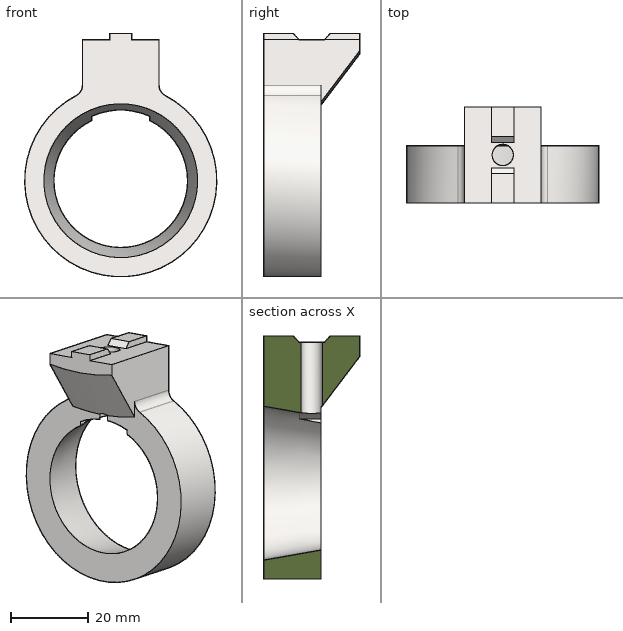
import cadquery as cq
import math

outer_radius = 24.95
front_bore_radius = 19.95
back_bore_radius = 17.3
ring_depth = 15.0
ring_center_z = outer_radius

total_height = 63.15
block_width = 19.95
block_depth = 25.0
pad_height = 1.6
block_top_z = total_height - pad_height
root_fillet = 3.0

slope_back_z = 58.75
slope_ring_z = 45.5
underside_bulge = 0.9

notch_width = 15.0
notch_radius = 18.3

pad_width = 5.8
pad_gap = 6.65
pad_bevel = 1.45
screw_diameter = 5.5
screw_y = block_depth / 2


def box(width, y_start, y_end, z_start, z_end):
    """Box centred on X between the given Y and Z limits."""
    return cq.Workplane("XY").box(
        width, y_end - y_start, z_end - z_start, centered=(True, False, False)
    ).translate((0, y_start, z_start))


def make_ring():
    return (
        cq.Workplane("XZ")
        .center(0, ring_center_z)
        .circle(outer_radius)
        .extrude(-ring_depth)
    )


def make_root_fillets():
    """Web under the block whose sides blend tangentially into the ring."""
    half_width = block_width / 2
    center_x = half_width + root_fillet
    center_distance = outer_radius + root_fillet
    center_z = ring_center_z + math.sqrt(center_distance**2 - center_x**2)
    tangent_x = center_x * outer_radius / center_distance
    tangent_z = ring_center_z + (center_z - ring_center_z) * outer_radius / center_distance
    tangent_angle = math.atan2(tangent_z - center_z, tangent_x - center_x) + 2 * math.pi
    angle = (math.pi + tangent_angle) / 2
    middle_x = center_x + root_fillet * math.cos(angle)
    middle_z = center_z + root_fillet * math.sin(angle)
    return (
        cq.Workplane("XZ")
        .moveTo(-half_width, center_z)
        .lineTo(half_width, center_z)
        .threePointArc((middle_x, middle_z), (tangent_x, tangent_z))
        .lineTo(0, ring_center_z)
        .lineTo(-tangent_x, tangent_z)
        .threePointArc((-middle_x, middle_z), (-half_width, center_z))
        .close()
        .extrude(-ring_depth)
    )


def make_block():
    ring_part = box(block_width, 0, ring_depth, ring_center_z, block_top_z)
    slope_run = block_depth - ring_depth
    slope_rise = slope_back_z - slope_ring_z
    half_width = block_width / 2
    section = (
        cq.Workplane("XZ", origin=(0, ring_depth, 0))
        .moveTo(-half_width, slope_ring_z)
        .threePointArc((0, slope_ring_z - underside_bulge), (half_width, slope_ring_z))
        .lineTo(half_width, block_top_z)
        .lineTo(-half_width, block_top_z)
        .close()
    )
    path = cq.Workplane("YZ").moveTo(ring_depth, 0).lineTo(ring_depth + slope_run, slope_rise)
    overhang = section.sweep(path)
    limits = box(block_width, ring_depth, block_depth, 0, block_top_z)
    return ring_part.union(overhang.intersect(limits))


def make_pads():
    """Two pads in line along Y, bevelled where they face each other."""
    front_end = screw_y - pad_gap / 2
    front_profile = [
        (0, block_top_z),
        (front_end, block_top_z),
        (front_end - pad_bevel, total_height),
        (0, total_height),
    ]
    front = (
        cq.Workplane("YZ")
        .polyline(front_profile)
        .close()
        .extrude(pad_width / 2, both=True)
    )
    return front.union(front.mirror("XZ").translate((0, block_depth, 0)))


def make_bore():
    """Bore that tapers toward the back of the ring."""
    return (
        cq.Workplane("XZ")
        .center(0, ring_center_z)
        .circle(front_bore_radius)
        .workplane(offset=-ring_depth)
        .circle(back_bore_radius)
        .loft()
    )


def make_notch():
    """Straight-sided notch with a roof coaxial with the bore."""
    roof = (
        cq.Workplane("XZ")
        .center(0, ring_center_z)
        .circle(notch_radius)
        .extrude(-ring_depth)
    )
    sides = box(notch_width, 0, ring_depth, ring_center_z, total_height)
    return roof.intersect(sides)


def make_screw_hole():
    """Vertical hole from the block top into the bore."""
    return (
        cq.Workplane("XY", origin=(0, screw_y, ring_center_z))
        .circle(screw_diameter / 2)
        .extrude(total_height - ring_center_z)
    )


result = make_ring().union(make_root_fillets()).union(make_block()).union(make_pads())
result = result.cut(make_bore()).cut(make_notch()).cut(make_screw_hole())